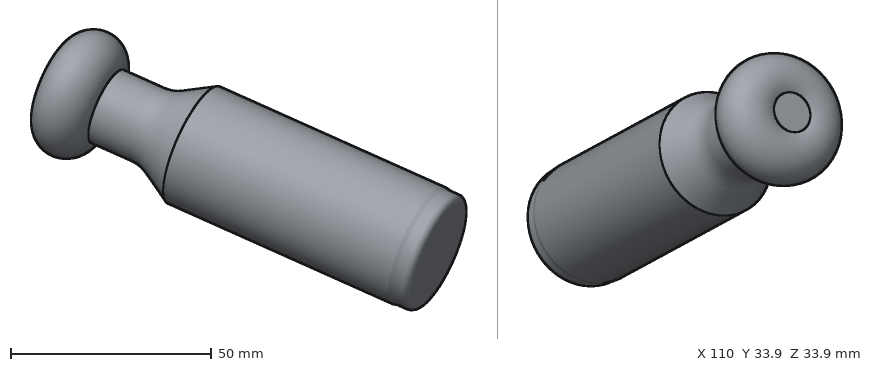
import cadquery as cq
import math

LENGTH = 110.0

RING_DIAMETER = 33.9
RING_THICKNESS = 15.8
TUBE_RADIUS = RING_THICKNESS / 2
RING_CENTRE_RADIUS = RING_DIAMETER / 2 - TUBE_RADIUS

NECK_RADIUS = 20.0 / 2
NECK_START = 1.0
NECK_END = 27.3

CONE_ANGLE = math.radians(30)
FLARE_LENGTH = 5.1
FLARE_RADIUS = FLARE_LENGTH / math.sin(CONE_ANGLE)
CONE_START = NECK_END + FLARE_LENGTH
CONE_START_RADIUS = NECK_RADIUS + FLARE_RADIUS * (1 - math.cos(CONE_ANGLE))

GRIP_RADIUS = 32.0 / 2
CONE_END = CONE_START + (GRIP_RADIUS - CONE_START_RADIUS) / math.tan(CONE_ANGLE)
GRIP_END = 104.5

TAIL_RADIUS = 31.5 / 2
TAIL_ROUND = 1.6
TAPER_END = 105.7


def make_handle():
    """Neck, shoulder, grip and tail turned from one half profile."""
    half = CONE_ANGLE / 2
    flare_middle = (
        NECK_END + FLARE_RADIUS * math.sin(half),
        NECK_RADIUS + FLARE_RADIUS * (1 - math.cos(half)),
    )
    profile = (
        cq.Workplane("XY")
        .moveTo(NECK_START, 0)
        .lineTo(NECK_START, NECK_RADIUS)
        .lineTo(NECK_END, NECK_RADIUS)
        .threePointArc(flare_middle, (CONE_START, CONE_START_RADIUS))
        .lineTo(CONE_END, GRIP_RADIUS)
        .lineTo(GRIP_END, GRIP_RADIUS)
        .lineTo(TAPER_END, TAIL_RADIUS)
        .lineTo(LENGTH, TAIL_RADIUS)
        .lineTo(LENGTH, 0)
        .close()
    )
    turned = profile.revolve(360, (0, 0, 0), (1, 0, 0))
    return turned.faces(">X").edges().fillet(TAIL_ROUND)


def make_ring(handle):
    """Torus with a recess that exactly holds the end of the neck."""
    torus = (
        cq.Workplane("XY")
        .center(TUBE_RADIUS, RING_CENTRE_RADIUS)
        .circle(TUBE_RADIUS)
        .revolve(360, (0, -RING_CENTRE_RADIUS, 0), (1, -RING_CENTRE_RADIUS, 0))
    )
    return torus.cut(handle).solids()


handle = make_handle()
ring = make_ring(handle)

result = cq.Compound.makeCompound([handle.val(), ring.val()])